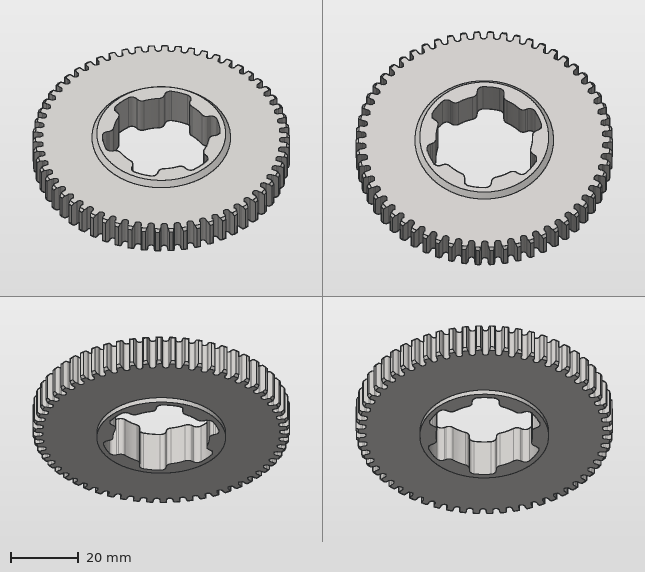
import cadquery as cq

tooth_count = 58
tip_radius = 38.05
root_radius = 35.1
gap_width = 1.9
gap_half_width = gap_width / 2
gap_mouth_half_width = 1.5
flank_start_radius = 36.5
flank_arc_radius = 6.85
gap_overshoot = 0.4

gear_width = 9.5
hub_height = 1.6
gear_bottom = hub_height
gear_top = gear_bottom + gear_width
total_height = gear_top + hub_height

tip_chamfer = 0.75
hub_radius = 19.1
upper_hub_base_radius = 20.55

groove_count = 6
land_radius = 14.3
groove_radius = 17.5
groove_width = 8.0
spline_fillet = 1.75


def make_tooth_gap():
    """Cutter for one gap on the X axis: round root, parallel walls, then convex flanks."""
    root_center = root_radius + gap_half_width
    return (
        cq.Workplane("XY", origin=(0, 0, gear_bottom))
        .moveTo(root_center, -gap_half_width)
        .lineTo(flank_start_radius, -gap_half_width)
        .radiusArc((tip_radius, -gap_mouth_half_width), flank_arc_radius)
        .lineTo(tip_radius + gap_overshoot, -gap_mouth_half_width)
        .lineTo(tip_radius + gap_overshoot, gap_mouth_half_width)
        .lineTo(tip_radius, gap_mouth_half_width)
        .radiusArc((flank_start_radius, gap_half_width), flank_arc_radius)
        .lineTo(root_center, gap_half_width)
        .threePointArc((root_radius, 0), (root_center, -gap_half_width))
        .close()
        .extrude(gear_width)
    )


def make_gear():
    """Chamfered toothed disc with a tooth centred on +X."""
    blank = (
        cq.Workplane("XY", origin=(0, 0, gear_bottom))
        .circle(tip_radius)
        .extrude(gear_width)
        .edges()
        .chamfer(tip_chamfer)
    )
    gap = make_tooth_gap().val()
    pitch_angle = 360 / tooth_count
    gaps = [
        gap.rotate((0, 0, 0), (0, 0, 1), (i + 0.5) * pitch_angle)
        for i in range(tooth_count)
    ]
    return cq.Workplane(blank.val().cut(*gaps))


def make_hubs():
    """Straight lower hub, plate centre and conical upper hub as one revolved body."""
    return (
        cq.Workplane("XZ")
        .polyline([
            (0, 0),
            (hub_radius, 0),
            (hub_radius, gear_top),
            (upper_hub_base_radius, gear_top),
            (hub_radius, total_height),
            (0, total_height),
        ])
        .close()
        .revolve(360, (0, 0, 0), (0, 1, 0))
    )


def make_splined_bore():
    """Cutter with parallel-sided grooves, the first on +X, rounded at every corner."""
    limit = cq.Workplane("XY").circle(groove_radius).extrude(total_height)
    bore = cq.Workplane("XY").circle(land_radius).extrude(total_height)
    for i in range(groove_count // 2):
        bar = (
            cq.Workplane("XY")
            .rect(2 * groove_radius, groove_width)
            .extrude(total_height)
            .rotate((0, 0, 0), (0, 0, 1), i * 360 / groove_count)
        )
        bore = bore.union(bar)
    return bore.intersect(limit).edges("|Z").fillet(spline_fillet)


result = make_gear().union(make_hubs()).cut(make_splined_bore())